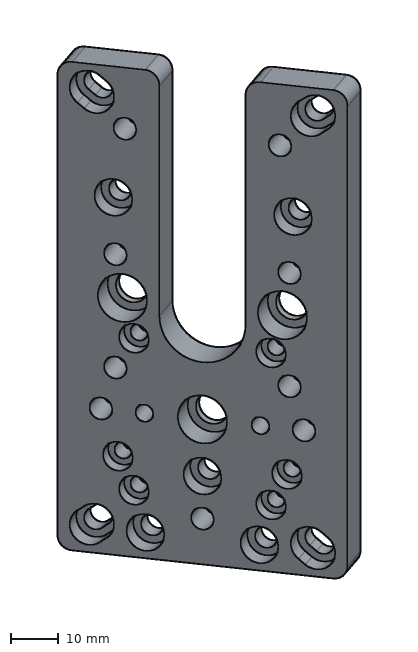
import cadquery as cq

width = 63.5
height = 109.4
thickness = 9.5
corner_radius = 3.2
notch_radius = 9.4

plain_diameter = 4.9
pin_diameter = 3.8
small_bore, small_counterbore = 3.7, 6.5
medium_bore, medium_counterbore = 4.8, 8.2
large_bore, large_counterbore = 7.1, 10.7

small_depth = small_bore
medium_depth = medium_bore
large_depth = large_bore
slot_depth = medium_bore

slot_travel = 1.9
slot_tilt = 37.0
slot_x = 24.2
top_slot_z = 48.5
bottom_slot_z = -48.4

grid = 6.3
hub_z = -3.5 * grid


def mirrored(points):
    """Add the mirror image across X = 0 of every (x, z) point."""
    return points + [(-x, z) for x, z in points]


plain_holes = mirrored([(17.0, 41.0), (3 * grid, 2 * grid), (3 * grid, -2 * grid), (3.5 * grid, hub_z)])
plain_holes += [(0, -7 * grid)]
pin_holes = mirrored([(2 * grid, hub_z)])
small_holes = mirrored([(15.0, -5.7), (18.5, -32.5), (15.0, -39.7)])
medium_holes = mirrored([(12.5, -48.9)]) + [(-19.5, 4 * grid), (19.8, 4 * grid), (0, hub_z - 2 * grid)]
large_holes = mirrored([(17.5, 3.1)]) + [(0, hub_z)]


def front_sketch():
    """Workplane on the front face whose axes are X and Z and whose normal is -Y."""
    return cq.Workplane("XZ")


def drill(body, points, diameter, depth=thickness):
    return body.cut(front_sketch().pushPoints(points).circle(diameter / 2).extrude(-depth))


def counterbore(body, points, bore, head, depth):
    return drill(drill(body, points, bore), points, head, depth)


def cut_corner_slots(body):
    for side in (1, -1):
        for slot_z, tilt in ((top_slot_z, slot_tilt), (bottom_slot_z, -slot_tilt)):
            sketch = front_sketch().center(side * slot_x, slot_z)
            for diameter, depth in ((medium_bore, thickness), (medium_counterbore, slot_depth)):
                body = body.cut(sketch.slot2D(slot_travel + diameter, diameter, side * tilt).extrude(-depth))
    return body


def make_plate():
    outline = (
        front_sketch()
        .moveTo(-width / 2, -height / 2)
        .lineTo(width / 2, -height / 2)
        .lineTo(width / 2, height / 2)
        .lineTo(notch_radius, height / 2)
        .lineTo(notch_radius, 0)
        .threePointArc((0, -notch_radius), (-notch_radius, 0))
        .lineTo(-notch_radius, height / 2)
        .lineTo(-width / 2, height / 2)
        .close()
    )
    plate = outline.extrude(-thickness)
    return plate.edges("|Y").edges(">Z or <Z").fillet(corner_radius)


result = make_plate()
result = drill(result, plain_holes, plain_diameter)
result = drill(result, pin_holes, pin_diameter)
result = counterbore(result, small_holes, small_bore, small_counterbore, small_depth)
result = counterbore(result, medium_holes, medium_bore, medium_counterbore, medium_depth)
result = counterbore(result, large_holes, large_bore, large_counterbore, large_depth)
result = cut_corner_slots(result)